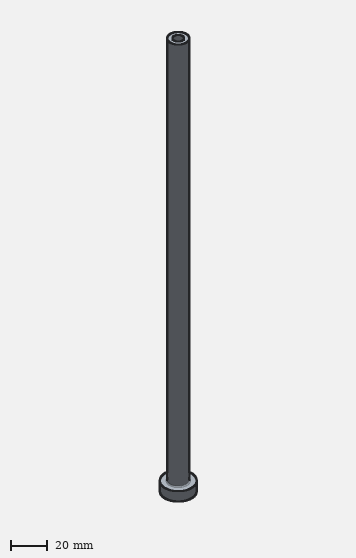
import cadquery as cq

total_length = 300.0
head_diameter = 20.0
head_height = 7.0
tube_diameter = 12.0
bore_diameter = 6.3
fillet_radius = 0.5

head_radius = head_diameter / 2
tube_radius = tube_diameter / 2
bore_radius = bore_diameter / 2

half_section = (
    cq.Workplane("XZ")
    .moveTo(bore_radius, 0)
    .lineTo(head_radius, 0)
    .lineTo(head_radius, head_height)
    .lineTo(tube_radius + fillet_radius, head_height)
    .radiusArc((tube_radius, head_height + fillet_radius), fillet_radius)
    .lineTo(tube_radius, total_length)
    .lineTo(bore_radius, total_length)
    .close()
)

result = half_section.revolve(360, (0, 0, 0), (0, 1, 0))